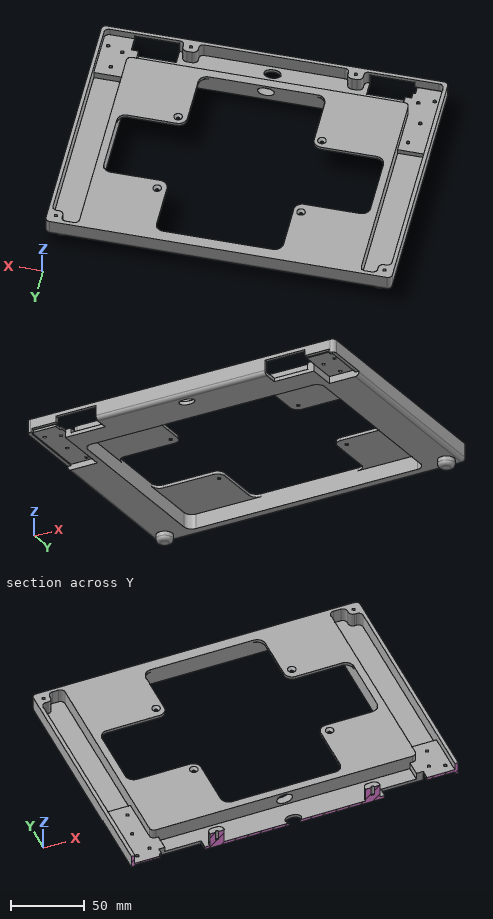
import cadquery as cq
import math

LENGTH = 240.0
WIDTH = 180.0
HEIGHT = 13.5
CORNER_RADIUS = 3.0
BOTTOM_RADIUS = 3.0
HALF_LENGTH = LENGTH / 2
HALF_WIDTH = WIDTH / 2

RIM = 2.6
FLOOR = 2.6
CHANNEL_X = HALF_LENGTH - RIM
CHANNEL_Y = HALF_WIDTH - RIM
CHANNEL_RADIUS = 3.4
ISLAND_LEFT = -98.0
ISLAND_RIGHT = 97.2
ISLAND_FRONT = -66.0

BACK_BOSS = 8.2
FRONT_BOSS_X = 57.0
FRONT_BOSS_WIDTH = 10.8
FRONT_BOSS_BACK = -79.2
BOSS_RADIUS = 3.5
BOSS_FOOT_RADIUS = 3.0
BACK_SCREW = (113.8, 83.8)
FRONT_SCREW_Y = -83.8
SCREW_DIAMETER = 2.0
SCREW_DEPTH = 7.2

CROSS_LEFT = -92.6
CROSS_RIGHT = 92.0
CROSS_FRONT = -60.0
CROSS_BACK = 81.8
ARM_LEFT = -42.0
ARM_RIGHT = 45.5
ARM_FRONT = -14.6
ARM_BACK = 37.7
CROSS_RADIUS = 6.0
TOP_PLATE = 2.5
TAB_SCREW_X = (-47.5, 52.0)
TAB_SCREW_Y = (-20.6, 45.0)
TAB_SCREW_DIAMETER = 2.2
TAB_SINK_DIAMETER = 5.8
TAB_SINK_ANGLE = 90

LEFT_PAD_BACK = -29.8
RIGHT_PAD_BACK = -51.8
LEFT_PAD_TOP = 6.2
RIGHT_PAD_TOP = 8.0
RECESS_OVERRUN = 4.5
RECESS_INNER_X = 97.0
RIM_RECESS = 3.4
LEFT_RECESS = 4.3
RIGHT_RECESS = 5.3
PAD_HOLE_DIAMETER = 2.2
LEFT_PAD_HOLES = [(-103.5, -37.7), (-107.8, -56.2), (-102.5, -74.0), (-113.0, -77.5)]
RIGHT_PAD_HOLES = [(107.3, -59.5), (102.5, -74.0), (113.0, -77.5)]

WINDOW_INNER_X = 66.0
WINDOW_BACK = -77.3
WINDOW_TOP = 10.5
SLOT_OUTER_X = 116.0
SLOT_TOP = 6.0
LEFT_RELIEF_X = -98.6
LEFT_RELIEF_BACK = -81.8

OVAL_LENGTH = 11.5
OVAL_HEIGHT = 7.5
FLOOR_OVAL_Y = -81.0
WALL_OVAL_Z = 8.0

FOOT_DIAMETER = 12.0
FOOT_HEIGHT = 6.0
FOOT_RADIUS = 3.0
FOOT_X = 110.0
FOOT_Y = 79.7


def block(x_range, y_range, z_range):
    """Box spanning the given ranges; each pair may be in either order."""
    (x0, x1), (y0, y1), (z0, z1) = map(sorted, (x_range, y_range, z_range))
    return cq.Workplane("XY").box(x1 - x0, y1 - y0, z1 - z0, centered=False).translate((x0, y0, z0))


def make_outer_body():
    body = cq.Workplane("XY").box(LENGTH, WIDTH, HEIGHT, centered=(True, True, False))
    return body.edges("|Z").fillet(CORNER_RADIUS).faces("<Z").edges().fillet(BOTTOM_RADIUS)


def make_channel():
    """Volume removed between rim and island, with the bosses left out of it."""
    levels = (FLOOR, HEIGHT)
    channel = block((-CHANNEL_X, CHANNEL_X), (-CHANNEL_Y, CHANNEL_Y), levels)
    island = block((ISLAND_LEFT, ISLAND_RIGHT), (ISLAND_FRONT, HALF_WIDTH), levels)
    channel = channel.cut(island)
    for side in (-1, 1):
        boss_x = (side * (CHANNEL_X - BACK_BOSS), side * HALF_LENGTH)
        channel = channel.cut(block(boss_x, (CHANNEL_Y - BACK_BOSS, HALF_WIDTH), levels))
    channel = channel.edges("|Z").fillet(CHANNEL_RADIUS)
    for side in (-1, 1):
        channel = channel.cut(make_front_boss(side * FRONT_BOSS_X))
    return channel


def make_front_boss(center_x):
    """Boss with rounded back corners that flares into the front rim."""
    half = FRONT_BOSS_WIDTH / 2
    flare = half + BOSS_FOOT_RADIUS
    root_y = -CHANNEL_Y + BOSS_FOOT_RADIUS
    arc_mid = 1 - math.sqrt(0.5)
    foot_mid = BOSS_FOOT_RADIUS * arc_mid
    tip_mid = BOSS_RADIUS * arc_mid
    shoulder_y = FRONT_BOSS_BACK - BOSS_RADIUS
    return (
        cq.Workplane("XY", origin=(center_x, 0, FLOOR))
        .moveTo(-flare, -CHANNEL_Y)
        .threePointArc((-half - foot_mid, -CHANNEL_Y + foot_mid), (-half, root_y))
        .lineTo(-half, shoulder_y)
        .threePointArc((-half + tip_mid, FRONT_BOSS_BACK - tip_mid), (-half + BOSS_RADIUS, FRONT_BOSS_BACK))
        .lineTo(half - BOSS_RADIUS, FRONT_BOSS_BACK)
        .threePointArc((half - tip_mid, FRONT_BOSS_BACK - tip_mid), (half, shoulder_y))
        .lineTo(half, root_y)
        .threePointArc((half + foot_mid, -CHANNEL_Y + foot_mid), (flare, -CHANNEL_Y))
        .close()
        .extrude(HEIGHT - FLOOR)
    )


def make_cross_opening():
    levels = (0, HEIGHT)
    wide_arm = block((CROSS_LEFT, CROSS_RIGHT), (ARM_FRONT, ARM_BACK), levels)
    long_arm = block((ARM_LEFT, ARM_RIGHT), (CROSS_FRONT, CROSS_BACK), levels)
    cross = wide_arm.union(long_arm).edges("|Z").fillet(CROSS_RADIUS)
    hollow = block((CROSS_LEFT, CROSS_RIGHT), (CROSS_FRONT, CROSS_BACK), (0, HEIGHT - TOP_PLATE))
    return cross.union(hollow.edges("|Z").fillet(CROSS_RADIUS))


def add_pad(body, side, pad_inner, pad_back, pad_top, recess, holes):
    """Raise one front corner of the floor and hollow its underside."""
    pad = block((pad_inner, side * CHANNEL_X), (-CHANNEL_Y, pad_back), (FLOOR, pad_top))
    body = body.union(pad)
    recess_back = pad_back - RECESS_OVERRUN
    across_rim = block((side * RECESS_INNER_X, side * LENGTH), (-WIDTH, recess_back), (0, RIM_RECESS))
    under_pad = block((side * RECESS_INNER_X, side * CHANNEL_X), (-CHANNEL_Y, recess_back), (0, recess))
    rim_slot = block((side * RECESS_INNER_X, side * SLOT_OUTER_X), (-WIDTH, -CHANNEL_Y), (0, SLOT_TOP))
    body = body.cut(across_rim).cut(under_pad).cut(rim_slot)
    drills = cq.Workplane("XY").pushPoints(holes).circle(PAD_HOLE_DIAMETER / 2).extrude(HEIGHT)
    return body.cut(drills)


def cut_windows(body):
    for side in (-1, 1):
        span = (side * WINDOW_INNER_X, side * RECESS_INNER_X)
        body = body.cut(block(span, (-HALF_WIDTH, WINDOW_BACK), (0, WINDOW_TOP)))
    relief = block((LEFT_RELIEF_X, -RECESS_INNER_X), (-CHANNEL_Y, LEFT_RELIEF_BACK), (0, LEFT_PAD_TOP))
    return body.cut(relief)


def cut_screw_holes(body):
    bottom = HEIGHT - SCREW_DEPTH
    points = [(side * BACK_SCREW[0], BACK_SCREW[1]) for side in (-1, 1)]
    points += [(side * FRONT_BOSS_X, FRONT_SCREW_Y) for side in (-1, 1)]
    drills = cq.Workplane("XY", origin=(0, 0, bottom)).pushPoints(points)
    body = body.cut(drills.circle(SCREW_DIAMETER / 2).extrude(SCREW_DEPTH))
    tab_points = [(x, y) for x in TAB_SCREW_X for y in TAB_SCREW_Y]
    top = cq.Workplane("XY", origin=(0, 0, HEIGHT)).add(body)
    return top.pushPoints(tab_points).cskHole(TAB_SCREW_DIAMETER, TAB_SINK_DIAMETER, TAB_SINK_ANGLE)


def cut_cable_openings(body):
    radii = (OVAL_LENGTH / 2, OVAL_HEIGHT / 2)
    floor_oval = cq.Workplane("XY").center(0, FLOOR_OVAL_Y).ellipse(*radii).extrude(FLOOR)
    wall_start = cq.Workplane("XZ", origin=(0, CROSS_FRONT, WALL_OVAL_Z))
    wall_oval = wall_start.ellipse(*radii).extrude(CROSS_FRONT - ISLAND_FRONT)
    return body.cut(floor_oval).cut(wall_oval)


def add_feet(body):
    points = [(-FOOT_X, FOOT_Y), (FOOT_X, FOOT_Y)]
    feet = cq.Workplane("XY").pushPoints(points).circle(FOOT_DIAMETER / 2).extrude(-FOOT_HEIGHT)
    return body.union(feet.faces("<Z").edges().fillet(FOOT_RADIUS))


result = make_outer_body().cut(make_channel()).cut(make_cross_opening())
result = add_pad(result, -1, CROSS_LEFT, LEFT_PAD_BACK, LEFT_PAD_TOP, LEFT_RECESS, LEFT_PAD_HOLES)
result = add_pad(result, 1, CROSS_RIGHT, RIGHT_PAD_BACK, RIGHT_PAD_TOP, RIGHT_RECESS, RIGHT_PAD_HOLES)
result = cut_windows(result)
result = cut_screw_holes(result)
result = cut_cable_openings(result)
result = add_feet(result)